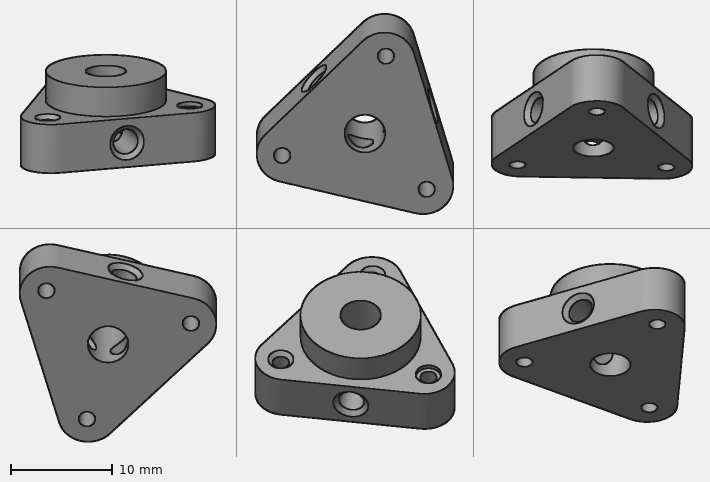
import cadquery as cq
import math

plate_thickness = 5.0
corner_pitch_radius = 8.0
corner_radius = 3.0
boss_diameter = 11.9
boss_height = 3.0
bore_diameter = 4.0

screw_pitch_radius = 8.5
screw_hole_diameter = 1.62
screw_recess_diameter = 2.5
screw_recess_depth = 0.44

side_hole_diameter = 2.53
side_chamfer_diameter = 3.5
side_chamfer_depth = 0.485

countersunk_angles = [-90, 150]
counterbored_angle = 30
corner_angles = countersunk_angles + [counterbored_angle]
side_angles = [90, 210, 330]

total_height = plate_thickness + boss_height
side_distance = corner_pitch_radius * math.cos(math.radians(60)) + corner_radius


def direction(angle):
    """Horizontal unit vector at the given angle in degrees."""
    return cq.Vector(math.cos(math.radians(angle)), math.sin(math.radians(angle)), 0)


def make_plate():
    """Triangular plate with rounded corners."""
    corner_centres = [direction(angle) * corner_pitch_radius for angle in corner_angles]
    return (
        cq.Workplane("XY")
        .polyline(corner_centres)
        .close()
        .offset2D(corner_radius, "arc")
        .extrude(plate_thickness)
    )


def make_boss():
    return cq.Workplane("XY").circle(boss_diameter / 2).extrude(total_height)


def make_bore():
    return cq.Workplane("XY").circle(bore_diameter / 2).extrude(total_height)


def make_hole(mouth, inward, diameter, depth, mouth_diameter, recess_depth, flat_bottom=False):
    """Cutter for a round hole with a wider, conical or flat-bottomed recess at its mouth."""
    shaft = cq.Solid.makeCylinder(diameter / 2, depth, mouth, inward)
    if flat_bottom:
        recess = cq.Solid.makeCylinder(mouth_diameter / 2, recess_depth, mouth, inward)
    else:
        recess = cq.Solid.makeCone(mouth_diameter / 2, diameter / 2, recess_depth, mouth, inward)
    return cq.Workplane(shaft.fuse(recess))


def make_screw_hole(angle, flat_bottom=False):
    """Vertical through hole, recessed at the top of the plate."""
    mouth = direction(angle) * screw_pitch_radius + cq.Vector(0, 0, plate_thickness)
    return make_hole(
        mouth,
        cq.Vector(0, 0, -1),
        screw_hole_diameter,
        plate_thickness,
        screw_recess_diameter,
        screw_recess_depth,
        flat_bottom,
    )


def make_side_hole(angle):
    """Radial countersunk hole from the middle of a flat side into the bore."""
    mouth = direction(angle) * side_distance + cq.Vector(0, 0, plate_thickness / 2)
    return make_hole(
        mouth,
        direction(angle) * -1,
        side_hole_diameter,
        side_distance,
        side_chamfer_diameter,
        side_chamfer_depth,
    )


result = make_plate().union(make_boss()).cut(make_bore())

for countersunk_angle in countersunk_angles:
    result = result.cut(make_screw_hole(countersunk_angle))

result = result.cut(make_screw_hole(counterbored_angle, flat_bottom=True))

for side_angle in side_angles:
    result = result.cut(make_side_hole(side_angle))